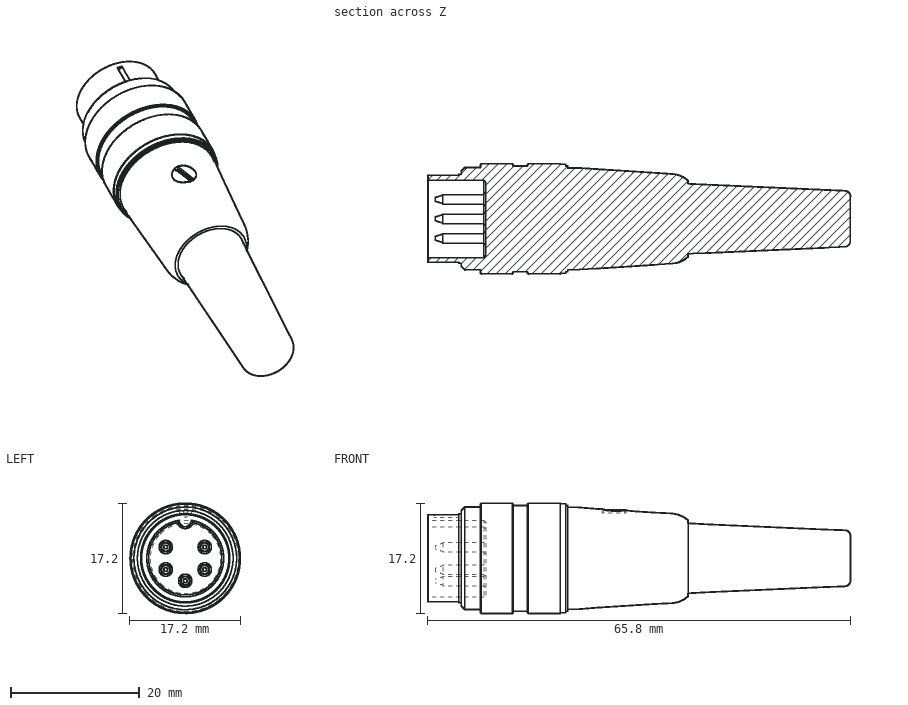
import cadquery as cq
import math

LENGTH = 65.8

SHELL_DIA = 13.6
COLLAR_DIA = 13.9
COLLAR_X = 4.85
MOUTH_DIA = 12.0
FLOOR_X = 9.0
FLOOR_CHAMFER = 0.3

RING_X = 5.2
RING_DIA = 16.0
RING_CHAMFER = 0.55

GRIP_DIA = 17.2
GRIP_X = 8.2
GRIP_CHAMFER = 0.15
WAIST_DIA = 16.5
WAIST_X = 13.3
WAIST_END_X = 15.5
REAR_STEP_DIA = 17.0
REAR_STEP_X = 20.65
REAR_LIP_DIA = 16.5
REAR_LIP_X = 21.5

BODY_DIA = 15.9
BODY_X = 21.8
TAPER_X = 23.4
NOSE_DIA = 14.0
NOSE_X = 38.1
NOSE_END_DIA = 11.9

BOOT_X = 40.5
BOOT_DIA = 10.95
BOOT_END_DIA = 8.7
BOOT_ROUNDING = 0.9

PIN_DIA = 1.49
PIN_CIRCLE_RADIUS = 3.5
PIN_ANGLES = [30, 150, 210, 270, 330]
PIN_TIP_X = 1.2
PIN_TIP_DIA = 0.6
PIN_TIP_BASE_DIA = 1.3
PIN_TIP_LENGTH = 1.1

KEY_WIDTH = 1.85
KEY_BOTTOM_Z = 4.92
INDEX_X = 1.0
INDEX_WIDTH = 0.75

SCREW_X = 28.95
SCREW_DIA = 3.8
SCREW_SLOT_WIDTH = 0.7
SCREW_SLOT_DEPTH = 0.5
SCREW_SLOT_ANGLE = 20


def cylinder_x(x_start, x_end, diameter):
    """Solid cylinder on the plug axis."""
    return cq.Workplane("YZ", origin=(x_start, 0, 0)).circle(diameter / 2).extrude(x_end - x_start)


def make_outer_body():
    """Solid of revolution bounded by the whole outer profile."""
    grip_edge_radius = GRIP_DIA / 2 - GRIP_CHAMFER
    boot_slope = (BOOT_END_DIA - BOOT_DIA) / 2 / (LENGTH - BOOT_X)
    rounding_x = LENGTH - BOOT_ROUNDING
    rounding_radius = BOOT_END_DIA / 2 - boot_slope * BOOT_ROUNDING
    profile = (
        cq.Workplane("XY")
        .lineTo(0, SHELL_DIA / 2)
        .lineTo(COLLAR_X, SHELL_DIA / 2)
        .lineTo(COLLAR_X, COLLAR_DIA / 2)
        .lineTo(RING_X, COLLAR_DIA / 2)
        .lineTo(RING_X, RING_DIA / 2 - RING_CHAMFER)
        .lineTo(RING_X + RING_CHAMFER, RING_DIA / 2)
        .lineTo(GRIP_X, RING_DIA / 2)
        .lineTo(GRIP_X, grip_edge_radius)
        .lineTo(GRIP_X + GRIP_CHAMFER, GRIP_DIA / 2)
        .lineTo(WAIST_X - GRIP_CHAMFER, GRIP_DIA / 2)
        .lineTo(WAIST_X, grip_edge_radius)
        .lineTo(WAIST_X, WAIST_DIA / 2)
        .lineTo(WAIST_END_X, WAIST_DIA / 2)
        .lineTo(WAIST_END_X, grip_edge_radius)
        .lineTo(WAIST_END_X + GRIP_CHAMFER, GRIP_DIA / 2)
        .lineTo(REAR_STEP_X, GRIP_DIA / 2)
        .lineTo(REAR_STEP_X, REAR_STEP_DIA / 2)
        .lineTo(REAR_LIP_X, REAR_STEP_DIA / 2)
        .lineTo(REAR_LIP_X, REAR_LIP_DIA / 2)
        .lineTo(BODY_X, REAR_LIP_DIA / 2)
        .lineTo(BODY_X, BODY_DIA / 2)
        .lineTo(TAPER_X, BODY_DIA / 2)
        .lineTo(NOSE_X, NOSE_DIA / 2)
        .tangentArcPoint((BOOT_X, NOSE_END_DIA / 2), relative=False)
        .lineTo(BOOT_X, BOOT_DIA / 2)
        .lineTo(rounding_x, rounding_radius)
        .tangentArcPoint((LENGTH, rounding_radius - BOOT_ROUNDING), relative=False)
        .lineTo(LENGTH, 0)
        .close()
    )
    return profile.revolve(360, (0, 0, 0), (1, 0, 0))


def make_socket():
    """Round cavity of the shell, chamfered around its floor."""
    return cylinder_x(0, FLOOR_X, MOUTH_DIA).faces(">X").chamfer(FLOOR_CHAMFER)


def make_key():
    """Round-nosed key hanging from the shell wall, flared where it meets the cavity floor."""
    nose_radius = KEY_WIDTH / 2
    nose_z = KEY_BOTTOM_Z + nose_radius
    key_top_z = (MOUTH_DIA + SHELL_DIA) / 4

    def outline(x_position, margin):
        half_width = nose_radius + margin
        return (
            cq.Workplane("YZ", origin=(x_position, 0, 0))
            .moveTo(-half_width, key_top_z)
            .lineTo(-half_width, nose_z)
            .threePointArc((0, KEY_BOTTOM_Z - margin), (half_width, nose_z))
            .lineTo(half_width, key_top_z)
            .close()
        )

    flare_x = FLOOR_X - FLOOR_CHAMFER
    blade = outline(0, 0).extrude(FLOOR_X)
    flare_start = outline(flare_x, 0).wires().val()
    flare_end = outline(FLOOR_X, FLOOR_CHAMFER).wires().val()
    flare = cq.Workplane(cq.Solid.makeLoft([flare_start, flare_end], True))
    return blade.union(flare)


def make_pin(angle):
    """One contact pin, rooted in the cavity floor."""
    shoulder_x = PIN_TIP_X + PIN_TIP_LENGTH
    y = PIN_CIRCLE_RADIUS * math.cos(math.radians(angle))
    z = PIN_CIRCLE_RADIUS * math.sin(math.radians(angle))
    return (
        cq.Workplane("XY")
        .moveTo(PIN_TIP_X, 0)
        .lineTo(PIN_TIP_X, PIN_TIP_DIA / 2)
        .lineTo(shoulder_x, PIN_TIP_BASE_DIA / 2)
        .lineTo(shoulder_x, PIN_DIA / 2)
        .lineTo(FLOOR_X - FLOOR_CHAMFER, PIN_DIA / 2)
        .lineTo(FLOOR_X, PIN_DIA / 2 + FLOOR_CHAMFER)
        .lineTo(FLOOR_X, 0)
        .close()
        .revolve(360, (0, 0, 0), (1, 0, 0))
        .translate((0, y, z))
    )


def make_index_groove():
    """Half-round groove along the top of the shell, ending at the collar."""
    return cylinder_x(INDEX_X, COLLAR_X, INDEX_WIDTH).translate((0, 0, SHELL_DIA / 2))


def fit_screw(body):
    """Replace a round patch of the tapered body by a slotted screw head of constant crown."""
    taper = (BODY_DIA - NOSE_DIA) / (NOSE_X - TAPER_X)
    crown_dia = BODY_DIA - taper * (SCREW_X - TAPER_X)
    seat_z = crown_dia / 2 - 2 * SCREW_SLOT_DEPTH
    bore = cq.Workplane("XY", origin=(SCREW_X, 0, seat_z)).circle(SCREW_DIA / 2).extrude(SCREW_DIA)
    crown = cylinder_x(SCREW_X - SCREW_DIA, SCREW_X + SCREW_DIA, crown_dia)
    slot = (
        cq.Workplane("XY")
        .box(SCREW_DIA, SCREW_SLOT_WIDTH, 2 * SCREW_SLOT_DEPTH)
        .rotate((0, 0, 0), (0, 0, 1), SCREW_SLOT_ANGLE)
        .translate((SCREW_X, 0, crown_dia / 2))
        .intersect(bore)
    )
    head = bore.intersect(crown).cut(slot)
    return body.cut(bore).union(head)


result = make_outer_body().cut(make_socket()).union(make_key())
for pin_angle in PIN_ANGLES:
    result = result.union(make_pin(pin_angle))
result = result.cut(make_index_groove())
result = fit_screw(result)